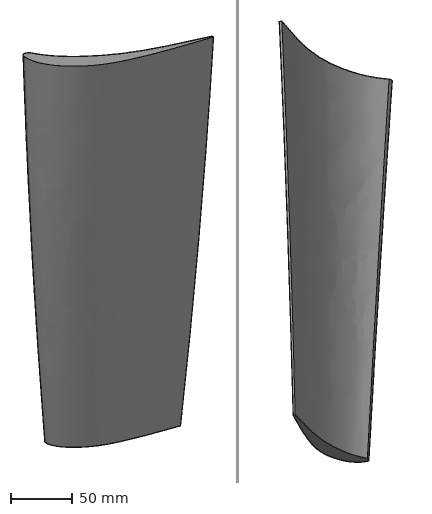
import cadquery as cq

HEIGHT = 334.5

TIP_WIDTH, TIP_DEPTH = 113.0, 123.0
TIP_Y = 1.5
MID_X, MID_Y = 9.7, -0.7
MID_WIDTH, MID_DEPTH = 95.3, 116.5
ROOT_X, ROOT_Y = 19.5, 5.5
ROOT_WIDTH, ROOT_DEPTH = 77.5, 93.3

MID_FLATTENING = 2.0
ROOT_FLATTENING = 3.0

NOSE_LOWER = (3.5, 5.7)
NOSE_FRONT = (0.0, 12.0)
NOSE_UPPER = (3.5, 15.7)
TAIL_CONVEX = (TIP_WIDTH, TIP_DEPTH - 1.0)
TAIL_CONCAVE = (TIP_WIDTH - 2.0, TIP_DEPTH)
CONVEX_SIDE = [(12.7, 1.5), (25.0, 0.0), (42.8, 4.7), (64.2, 20.5), (84.5, 52.0), (101.0, 90.0)]
CONCAVE_SIDE = [(87.0, 79.2), (67.5, 52.0), (43.8, 30.8), (24.5, 20.0)]


def airfoil(z, x, y, width, depth, flattening):
    """Closed airfoil wire at height z, stretched to fill a box with its corner at (x, y).

    The flattening fades parabolically from mid-width to nothing at the nose and tail.
    """

    def place(point):
        along = point[0] / TIP_WIDTH
        up = point[1] / TIP_DEPTH
        shift = flattening * 4 * along * (1 - along)
        return cq.Vector(x + along * width - shift, y + up * depth + shift, z)

    def side(points):
        return cq.Edge.makeSpline([place(point) for point in points])

    convex = side([NOSE_LOWER, *CONVEX_SIDE, TAIL_CONVEX])
    tail = cq.Edge.makeLine(place(TAIL_CONVEX), place(TAIL_CONCAVE))
    concave = side([TAIL_CONCAVE, *CONCAVE_SIDE, NOSE_UPPER])
    nose = cq.Edge.makeThreePointArc(place(NOSE_UPPER), place(NOSE_FRONT), place(NOSE_LOWER))
    return cq.Wire.assembleEdges([convex, tail, concave, nose])


sections = [
    airfoil(0, ROOT_X, ROOT_Y, ROOT_WIDTH, ROOT_DEPTH, ROOT_FLATTENING),
    airfoil(HEIGHT / 2, MID_X, MID_Y, MID_WIDTH, MID_DEPTH, MID_FLATTENING),
    airfoil(HEIGHT, 0, TIP_Y, TIP_WIDTH, TIP_DEPTH, 0),
]

result = cq.Workplane("XY").add(cq.Solid.makeLoft(sections))